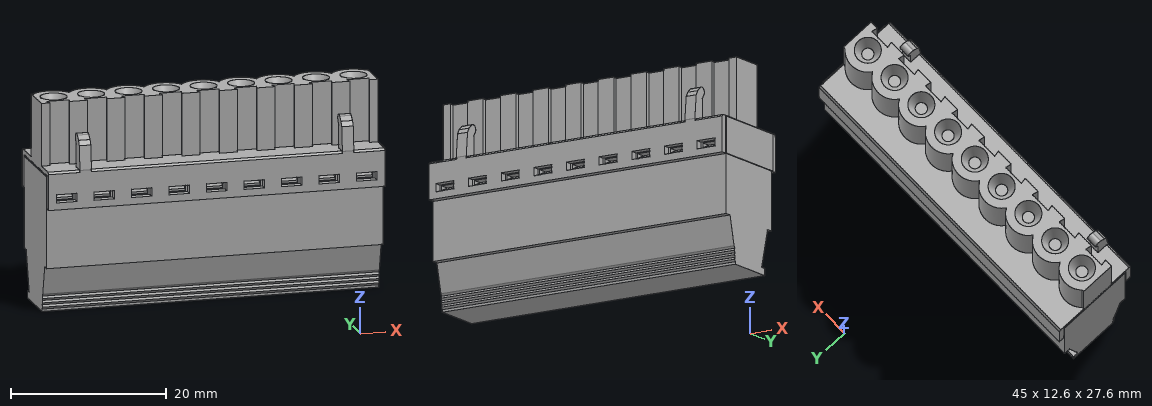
import cadquery as cq
import math


POLE_COUNT = 9
PITCH = 5.0
FIRST_POLE_X = 2.45
POLE_Y = 6.3
POLE_XS = [FIRST_POLE_X + PITCH * i for i in range(POLE_COUNT)]

TOTAL_LENGTH = 45.0
TONGUE_LENGTH = 0.15
LENGTH = TOTAL_LENGTH - TONGUE_LENGTH
DEPTH = 12.6
HEIGHT = 27.6

BODY_FRONT = 0.95
BODY_BACK = DEPTH - BODY_FRONT
SHOULDER_Z = 6.25
SHOULDER_WIDTH = 0.9
FOOT_Z = 1.0
FOOT_BACK = 10.1
FOOT_NECK_BACK = 9.35
BASE_FRONT = 3.1

TEETH_TOP_Y = 2.8
TEETH_TOP_Z = 2.4
TOOTH_COUNT = 4
TOOTH_PITCH = 0.6
TOOTH_LEAN = 0.05
TOOTH_DEPTH = 0.2

CAP_TOP = 19.25
CAP_BOTTOM = 14.2
CAP_CHAMFER = 0.25
SKIRT_THICKNESS = 0.8
TONGUE_TOP = 19.15
GROOVE_TOP = 18.6
GROOVE_DEPTH = 0.15
GROOVE_WIDTH = BODY_FRONT - SKIRT_THICKNESS

WINDOW_WIDTH = 2.7
WINDOW_BOTTOM = 15.15
WINDOW_TOP = 16.25
POCKET_WIDTH = 2.15
POCKET_BOTTOM = 15.3
POCKET_TOP = 16.1
POCKET_SILL_Z = 15.55
POCKET_SILL_DEPTH = 0.2
POCKET_DEPTH = 1.35

TOWER_RADIUS = 2.92
TOWER_FRONT = 3.38
TOWER_END_BACK = 8.3
END_LEDGE_LENGTH = 0.45
NOTCH_BACK = 4.2
NOTCH_FRONT_WIDTH = 2.6
NOTCH_BACK_WIDTH = 2.92

FUNNEL_TOP_DIAMETER = 3.45
FUNNEL_BOTTOM_DIAMETER = 1.58
FUNNEL_DEPTH = 1.8

HOOK_WIDTH = 1.55
HOOK_INSET = 4.95
HOOK_XS = [HOOK_INSET, LENGTH - HOOK_INSET]
HOOK_BACK = 1.8
HOOK_NECK_Z = 22.3
HOOK_TIP_RADIUS = 0.6
HOOK_TIP_Y = 1.65
HOOK_TIP_Z = 23.18
HOOK_TIP_START_ANGLE = 130
HOOK_TIP_END_ANGLE = -30
HOOK_LOWER_BEND = (0.3, 22.45)
HOOK_UPPER_BEND = (0.68, 23.1)


def extrude_along_x(points, start, length):
    """Solid with a (y, z) outline, starting at x = start."""
    return cq.Workplane("YZ").workplane(offset=start).polyline(points).close().extrude(length)


def block(x0, x1, y0, y1, z0, z1):
    """Box between the given limits."""
    return cq.Workplane("XY").box(x1 - x0, y1 - y0, z1 - z0, centered=False).translate((x0, y0, z0))


def make_body():
    teeth = []
    for i in range(TOOTH_COUNT):
        peak_y = TEETH_TOP_Y + TOOTH_LEAN * i
        peak_z = TEETH_TOP_Z - TOOTH_PITCH * i
        teeth.append((peak_y, peak_z))
        teeth.append((peak_y + TOOTH_DEPTH, peak_z - TOOTH_PITCH / 2))
    outline = [
        (BODY_FRONT, CAP_TOP),
        (BODY_FRONT, SHOULDER_Z),
        (BODY_FRONT + SHOULDER_WIDTH, SHOULDER_Z),
        *teeth,
        (BASE_FRONT, 0),
        (FOOT_BACK, 0),
        (FOOT_BACK, FOOT_Z),
        (FOOT_NECK_BACK, FOOT_Z),
        (BODY_BACK - SHOULDER_WIDTH, SHOULDER_Z),
        (BODY_BACK, SHOULDER_Z),
        (BODY_BACK, CAP_TOP),
    ]
    return extrude_along_x(outline, 0, LENGTH)


def make_cap():
    cap = block(0, LENGTH, 0, DEPTH, CAP_BOTTOM, CAP_TOP)
    cap = cap.edges("|X and >Z").chamfer(CAP_CHAMFER)
    tongue = block(
        LENGTH, TOTAL_LENGTH, SKIRT_THICKNESS, DEPTH - SKIRT_THICKNESS, CAP_BOTTOM, TONGUE_TOP
    )
    return cap.union(tongue)


def make_end_groove():
    """Narrow groove in the left end, between the cap and the body."""
    outer = block(
        0, GROOVE_DEPTH, SKIRT_THICKNESS, DEPTH - SKIRT_THICKNESS, CAP_BOTTOM, GROOVE_TOP
    )
    core = block(0, GROOVE_DEPTH, BODY_FRONT, BODY_BACK, CAP_BOTTOM, GROOVE_TOP - GROOVE_WIDTH)
    return outer.cut(core)


def make_window(x):
    """Window through the skirt, with a ramped pocket in the body behind it."""
    opening = block(
        x - WINDOW_WIDTH / 2, x + WINDOW_WIDTH / 2, 0, BODY_FRONT, WINDOW_BOTTOM, WINDOW_TOP
    )
    pocket_outline = [
        (0, POCKET_BOTTOM),
        (BODY_FRONT + POCKET_SILL_DEPTH, POCKET_BOTTOM),
        (BODY_FRONT + POCKET_SILL_DEPTH, POCKET_SILL_Z),
        (BODY_FRONT + POCKET_DEPTH, POCKET_TOP),
        (0, POCKET_TOP),
    ]
    return opening.union(extrude_along_x(pocket_outline, x - POCKET_WIDTH / 2, POCKET_WIDTH))


def make_towers():
    """Row of towers: round at the back, joined into a wall at the front."""
    towers = block(0, LENGTH, TOWER_FRONT, POLE_Y, CAP_TOP, HEIGHT)
    for end_x in (0, LENGTH - END_LEDGE_LENGTH):
        ledge = block(end_x, end_x + END_LEDGE_LENGTH, POLE_Y, TOWER_END_BACK, CAP_TOP, HEIGHT)
        towers = towers.union(ledge)
    limits = block(0, LENGTH, TOWER_FRONT, DEPTH, CAP_TOP, HEIGHT)
    for x in POLE_XS:
        column = (
            cq.Workplane("XY", origin=(x, POLE_Y, CAP_TOP))
            .circle(TOWER_RADIUS)
            .extrude(HEIGHT - CAP_TOP)
        )
        towers = towers.union(column.intersect(limits))
    return towers


def make_notch(x):
    """Dovetail notch in the front of a tower."""
    outline = [
        (x - NOTCH_FRONT_WIDTH / 2, TOWER_FRONT),
        (x + NOTCH_FRONT_WIDTH / 2, TOWER_FRONT),
        (x + NOTCH_BACK_WIDTH / 2, NOTCH_BACK),
        (x - NOTCH_BACK_WIDTH / 2, NOTCH_BACK),
    ]
    plane = cq.Workplane("XY").workplane(offset=CAP_TOP)
    return plane.polyline(outline).close().extrude(HEIGHT - CAP_TOP)


def make_funnel(x):
    """Conical opening in the top of a tower."""
    mouth_center = cq.Vector(x, POLE_Y, HEIGHT)
    cone = cq.Solid.makeCone(
        FUNNEL_TOP_DIAMETER / 2,
        FUNNEL_BOTTOM_DIAMETER / 2,
        FUNNEL_DEPTH,
        mouth_center,
        cq.Vector(0, 0, -1),
    )
    return cq.Workplane(obj=cone)


def tip_point(degrees):
    """Point on the rounded hook tip, measured from +Y toward +Z."""
    angle = math.radians(degrees)
    return (
        HOOK_TIP_Y + HOOK_TIP_RADIUS * math.cos(angle),
        HOOK_TIP_Z + HOOK_TIP_RADIUS * math.sin(angle),
    )


def make_hook(x):
    """Latch hook rising from the front edge of the cap."""
    root_z = CAP_TOP - CAP_CHAMFER
    tip_middle_angle = (HOOK_TIP_START_ANGLE + HOOK_TIP_END_ANGLE) / 2
    return (
        cq.Workplane("YZ")
        .workplane(offset=x - HOOK_WIDTH / 2)
        .moveTo(0, root_z)
        .lineTo(0, CAP_TOP)
        .lineTo(*HOOK_LOWER_BEND)
        .lineTo(*HOOK_UPPER_BEND)
        .lineTo(*tip_point(HOOK_TIP_START_ANGLE))
        .threePointArc(tip_point(tip_middle_angle), tip_point(HOOK_TIP_END_ANGLE))
        .lineTo(HOOK_BACK, HOOK_NECK_Z)
        .lineTo(HOOK_BACK, root_z)
        .close()
        .extrude(HOOK_WIDTH)
    )


result = make_body().union(make_cap()).union(make_towers())
result = result.cut(make_end_groove())
for pole_x in POLE_XS:
    result = result.cut(make_window(pole_x))
    result = result.cut(make_notch(pole_x))
    result = result.cut(make_funnel(pole_x))
for hook_x in HOOK_XS:
    result = result.union(make_hook(hook_x))